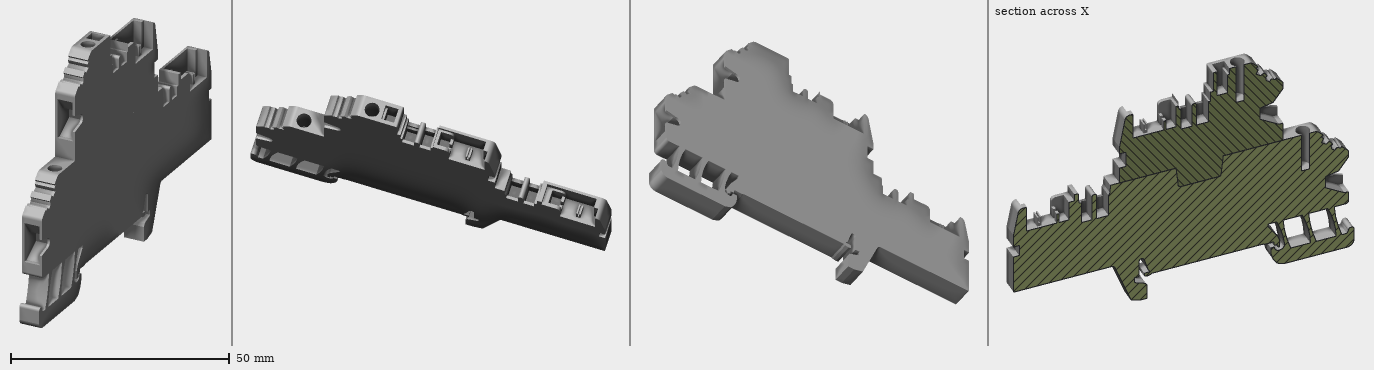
import cadquery as cq


width = 5.1
half_width = width / 2
lower_top = 35.6
upper_top = 60.2
upper_shoulder = 54.3
lower_face = -41.3
tier_shift_y = 16.4
upper_face = lower_face + tier_shift_y

tongue_back = 1.9
tongue_front = -9.8
tongue_bottom = 30.0
tongue_draft = 0.6
tongue_radius = 0.6

marker_steps = [
    (7.9, 0), (6.3, 1.6), (6.7, 2.1), (6.2, 2.65), (6.7, 3.7), (5.6, 4.4), (4.9, 3.8),
    (3.9, 4.95), (4.35, 5.4), (4.3, 6.2), (3.5, 6.7), (3.1, 6.2), (2.6, 6.2), (2.1, 6.65), (1.8, 6.2), (0, 8.0),
]
stair_top_radius = 1.5
stair_foot_radius = 1.1
shoulder_radius = 1.4

post_width = 1.3
lower_slot = dict(back=25.6, post_back=23.0, front=18.8, floor=30.5, ledge=32.8, post_top=34.2)
upper_slot = dict(back=0.7, post_back=-2.0, front=-6.1, floor=49.9, ledge=52.3, post_top=52.8)
slot_pocket_left = -1.7
slot_pocket_right = 1.9
slot_pocket_depth = 3.4
slot_rib_right = -1.2
slot_rib_drop = 0.85

side_wall_inner = -2.0
lower_pocket = dict(top=lower_top, back=40.2, tower=31.8, tower_end=27.4, tower_drop=1.8)
upper_pocket = dict(top=upper_shoulder, back=13.6, tower=5.0, tower_end=1.3, tower_drop=1.0)
pocket_depth = 6.8
corner_block_right = 0.2
corner_block_length = 1.0
tower_rounding = 1.0
test_hole_left = -1.45
test_hole_right = 1.7
test_hole_length = 2.4
test_hole_wall = 0.7
test_wall_drop = 4.3
test_slot_left = -0.2
test_slot_right = 0.7

fork_left = -0.8
fork_right = 1.5
fork_length = 1.0
fork_slit = 0.3
fork_height = 2.6
fork_base_height = 0.85
fork_setback = 3.8

screw_hole_radius = 1.7
screw_hole_x = 0.25
screw_hole_behind_face = 10.8
screw_hole_depth = 10.2
square_hole_half_width = 1.7
square_hole_back = -8.35
square_hole_length = 3.1
square_hole_inner_length = 2.6
square_hole_depth = 6.8
square_hole_step_depth = 1.7
recess_half_width = 2.0
recess_funnel = [(0, 19.7), (1.1, 19.7), (5.8, 16.9), (5.8, 13.8), (2.6, 13.1), (0, 9.8)]
notch_round_depth = 2.65
notch_radius = 1.4
notch_centre_drop = 15.2
notch_mouth_low = 17.2
notch_mouth_high = 13.1

body_bottom = 12.5
foot_floor = 4.1
leg_pitch = 6.4
first_window_back = -24.9
window_count = 2
leg_front_middle = 0.5
leg_front_foot = 1.9
leg_front_middle_z = 8.8
leg_back_top = 4.7
leg_back_middle = 6.0
leg_back_foot = 6.7
leg_back_middle_z = 9.1

underside_radius = 0.85
small_corner_radius = 0.3


def box(x_limits, y_limits, z_limits):
    """Axis-aligned block between pairs of limits given in any order."""
    spans = [abs(b - a) for a, b in (x_limits, y_limits, z_limits)]
    corner = [min(pair) for pair in (x_limits, y_limits, z_limits)]
    return cq.Workplane("XY").box(*spans, centered=False).translate(tuple(corner))


def sketch_on_side(x_start=-half_width):
    """Workplane whose local axes are Y and Z, standing at x_start and facing +X."""
    return cq.Workplane("YZ", origin=(x_start, 0, 0))


def round_corners(body, corners, radius):
    """Fillet the edges along X that pass through the given (y, z) corners."""
    for y, z in corners:
        body = body.edges("|X").edges(cq.NearestToPointSelector((0, y, z))).fillet(radius)
    return body


def marker_stairs(face, top):
    return [(face + behind, top - drop) for behind, drop in marker_steps]


def round_stair_ends(body, face, top):
    stairs = marker_stairs(face, top)
    body = round_corners(body, [stairs[0]], stair_top_radius)
    return round_corners(body, [stairs[-1]], stair_foot_radius)


def tongue_outline():
    return [
        (tongue_back, lower_top),
        (tongue_back - tongue_draft, tongue_bottom),
        (tongue_front + tongue_draft, tongue_bottom),
        (tongue_front, lower_top),
    ]


def draw_lever_post(outline, slot):
    """Continue an outline along the slot floor and over the round-topped lever post."""
    radius = post_width / 2
    post_front = slot["post_back"] - post_width
    shoulder = slot["post_top"] - radius
    return (
        outline.lineTo(slot["post_back"], slot["floor"])
        .lineTo(slot["post_back"], shoulder)
        .threePointArc((slot["post_back"] - radius, slot["post_top"]), (post_front, shoulder))
        .lineTo(post_front, slot["floor"])
        .lineTo(slot["front"], slot["floor"])
    )


def draw_points(outline, points):
    for y, z in points:
        outline = outline.lineTo(y, z)
    return outline


def cut_wire_entry(body, face, top):
    """Funnel recess in the wire-entry face and the open notch in its +X wall."""
    recess = (
        sketch_on_side(-recess_half_width)
        .polyline([(face + depth, top - drop) for depth, drop in recess_funnel])
        .close()
        .extrude(2 * recess_half_width)
    )
    round_start = face + notch_round_depth
    centre = top - notch_centre_drop
    notch = (
        sketch_on_side(recess_half_width)
        .moveTo(face, top - notch_mouth_low)
        .lineTo(round_start, centre - notch_radius)
        .threePointArc((round_start + notch_radius, centre), (round_start, centre + notch_radius))
        .lineTo(face, top - notch_mouth_high)
        .close()
        .extrude(half_width - recess_half_width)
    )
    return body.cut(recess).cut(notch)


def cut_screw_hole(body, face, top):
    hole = (
        cq.Workplane("XY", origin=(screw_hole_x, face + screw_hole_behind_face, top))
        .circle(screw_hole_radius)
        .extrude(-screw_hole_depth)
    )
    return body.cut(hole)


def cut_slot_pockets(body, slot):
    """Sink a pocket into the slot floor on each side of the lever post."""
    x_limits = (slot_pocket_left, slot_pocket_right)
    z_limits = (slot["floor"] - slot_pocket_depth, slot["floor"])
    spans = [(slot["back"], slot["post_back"]), (slot["post_back"] - post_width, slot["front"])]
    for y_limits in spans:
        body = body.cut(box(x_limits, y_limits, z_limits))
    return body


def cut_disconnect_pocket(body, pocket):
    """Open pocket behind the -X wall, ending at a tower with a slotted test hole."""
    top = pocket["top"]
    floor = top - pocket_depth
    tower_top = top - pocket["tower_drop"]
    inside = (side_wall_inner, half_width)

    cavity = box(inside, (pocket["tower"], pocket["back"]), (floor, top))
    corner_block = box(
        (side_wall_inner, corner_block_right),
        (pocket["back"] - corner_block_length, pocket["back"]),
        (floor, top),
    )
    above_tower = box(inside, (pocket["tower_end"], pocket["tower"]), (tower_top, top))
    rounding_zone = box(
        inside, (pocket["tower"] - tower_rounding, pocket["tower"]), (tower_top - tower_rounding, tower_top)
    )
    rounding_core = (
        sketch_on_side(side_wall_inner)
        .center(pocket["tower"] - tower_rounding, tower_top - tower_rounding)
        .circle(tower_rounding)
        .extrude(half_width - side_wall_inner)
    )
    hole_back = pocket["tower"] - test_hole_wall
    test_hole = box(
        (test_hole_left, test_hole_right), (hole_back - test_hole_length, hole_back), (floor, tower_top)
    )
    above_test_wall = box(
        (test_hole_left, test_hole_right), (hole_back, pocket["tower"]), (top - test_wall_drop, tower_top)
    )
    test_slot = box((test_slot_left, test_slot_right), (hole_back, pocket["tower"]), (floor, tower_top))

    body = body.cut(cavity.cut(corner_block)).cut(above_tower)
    body = body.cut(rounding_zone.cut(rounding_core))
    return body.cut(test_hole).cut(above_test_wall).cut(test_slot)


def cut_leg_windows(body):
    """Slanted windows that leave the springy legs between the body and the foot bar."""
    for index in range(window_count):
        back = first_window_back - index * leg_pitch
        window = (
            sketch_on_side()
            .moveTo(back, body_bottom)
            .lineTo(back - leg_back_top, body_bottom)
            .threePointArc((back - leg_back_middle, leg_back_middle_z), (back - leg_back_foot, foot_floor))
            .lineTo(back - leg_front_foot, foot_floor)
            .threePointArc((back - leg_front_middle, leg_front_middle_z), (back, body_bottom))
            .close()
            .extrude(width)
        )
        body = body.cut(window)
    return body


def make_lower_housing():
    slot = lower_slot
    rear = 42.6
    rear_top = 41.3
    rear_bottom = 12.1
    latch_root = 17.5
    last_leg = first_window_back - window_count * leg_pitch
    first_leg = first_window_back + leg_pitch

    outline = sketch_on_side().moveTo(rear, rear_bottom)
    outline = draw_points(outline, [
        (rear, 22.3), (41.2, 22.3), (41.2, 25.1), (rear, 25.1), (rear, 28.6), (rear_top, lower_top),
        (26.3, lower_top), (26.2, slot["ledge"]), (slot["back"], slot["ledge"]),
        (slot["back"], slot["floor"]),
    ])
    outline = draw_lever_post(outline, slot)
    outline = draw_points(outline, [
        (slot["front"], slot["ledge"]), (18.5, slot["ledge"] + 0.7), (18.4, lower_top),
        *tongue_outline(),
        *marker_stairs(lower_face, lower_top),
        (lower_face, body_bottom), (last_leg, body_bottom),
    ])
    outline = (
        outline.threePointArc(
            (last_leg - leg_front_middle, leg_front_middle_z), (last_leg - leg_front_foot, foot_floor)
        )
        .lineTo(-40.75, foot_floor)
        .lineTo(-41.1, 4.8)
        .threePointArc((-41.9, 5.5), (-42.6, 4.8))
        .lineTo(-42.6, 1.6)
        .threePointArc((-42.0, 0.5), (-40.6, 0))
        .lineTo(-25.1, 0)
        .lineTo(-23.45, 0.6)
        .threePointArc((-22.1, 2.7), (-21.7, foot_floor))
        .lineTo(-21.7, 5.6)
        .lineTo(-22.8, 5.6)
        .lineTo(-22.8, 5.0)
        .threePointArc((-23.9, 4.35), (-25.1, 5.1))
    )
    outline = (
        outline.lineTo(-25.1, 6.1)
        .threePointArc(
            (first_leg - leg_back_middle, leg_back_middle_z), (first_leg - leg_back_top, body_bottom)
        )
        .lineTo(-21.1, body_bottom)
    )
    outline = draw_points(outline, [
        (-21.1, 11.85), (-23.45, 8.6), (-24.0, 7.2), (-24.0, 5.1), (-23.5, 5.1), (-23.45, 5.9),
        (-22.5, 6.1), (-22.4, 7.1), (-21.65, 7.0), (-20.0, 7.0), (-19.9, 7.2),
    ])
    outline = draw_points(outline, [
        (7.9, 7.2), (8.35, 6.9), (9.2, 6.7), (9.9, 6.9), (9.9, 7.85), (8.5, 7.9), (9.0, 8.7),
        (9.9, 11.5),
    ])
    outline = outline.threePointArc((10.5, 12.1), (11.2, 11.5))
    outline = draw_points(outline, [
        (11.2, 7.2), (12.3, 7.2), (12.3, 5.9), (9.55, 4.9), (9.1, 4.1), (9.1, 0.3), (10.8, 0.3),
        (13.2, 1.0), (latch_root, rear_bottom),
    ])
    body = outline.close().extrude(width)

    body = round_corners(body, tongue_outline()[1:3], tongue_radius)
    body = round_corners(body, [(rear_top, lower_top)], shoulder_radius)
    body = round_corners(body, [(latch_root, rear_bottom)], underside_radius)
    body = round_corners(body, [(lower_face, body_bottom)], underside_radius)
    body = round_corners(body, [(rear, rear_bottom)], small_corner_radius)
    body = round_stair_ends(body, lower_face, lower_top)

    body = cut_leg_windows(body)
    body = cut_disconnect_pocket(body, lower_pocket)
    body = cut_slot_pockets(body, slot)
    body = cut_screw_hole(body, lower_face, lower_top)
    return cut_wire_entry(body, lower_face, lower_top)


def cut_square_hole(body):
    """Square opening behind the upper screw hole, with a shallow step at its front."""
    x_limits = (-square_hole_half_width, square_hole_half_width)
    step = box(
        x_limits,
        (square_hole_back - square_hole_length, square_hole_back),
        (upper_top - square_hole_step_depth, upper_top),
    )
    shaft = box(
        x_limits,
        (square_hole_back - square_hole_inner_length, square_hole_back),
        (upper_top - square_hole_depth, upper_top),
    )
    return body.cut(step).cut(shaft)


def add_slot_rib(body):
    """Rib along the -X side of the front slot pocket, a little below the slot floor."""
    floor = upper_slot["floor"]
    rib = box(
        (slot_pocket_left, slot_rib_right),
        (upper_slot["post_back"] - post_width, upper_slot["front"]),
        (floor - slot_pocket_depth, floor - slot_rib_drop),
    )
    return body.union(rib)


def make_upper_housing():
    slot = upper_slot
    rear = 16.1
    rear_top = 14.6
    tower_back = -7.3
    outline = sketch_on_side().moveTo(rear, lower_top)
    outline = draw_points(outline, [
        (rear, 39.9), (14.5, 39.9), (14.5, 43.8), (rear, 43.8), (rear, 45.9), (rear_top, upper_shoulder),
        (1.3, upper_shoulder), (1.2, slot["ledge"]), (slot["back"], slot["ledge"]),
        (slot["back"], slot["floor"]),
    ])
    outline = draw_lever_post(outline, slot)
    outline = draw_points(outline, [
        (slot["front"], slot["ledge"]), (-6.6, slot["ledge"]), (-6.6, 54.8), (tower_back, 54.8),
        (tower_back, upper_top),
        *marker_stairs(upper_face, upper_top),
        (upper_face, lower_top),
        *reversed(tongue_outline()),
    ])
    body = outline.close().extrude(width)

    body = round_corners(body, tongue_outline()[1:3], tongue_radius)
    body = round_corners(body, [(rear_top, upper_shoulder)], shoulder_radius)
    body = round_corners(body, [(tower_back, upper_top)], small_corner_radius)
    body = round_stair_ends(body, upper_face, upper_top)

    body = cut_disconnect_pocket(body, upper_pocket)
    body = add_slot_rib(cut_slot_pockets(body, slot))
    body = cut_square_hole(body)
    body = cut_screw_hole(body, upper_face, upper_top)
    return cut_wire_entry(body, upper_face, upper_top)


def make_contact_fork(pocket):
    """Two parallel blades on a common base, standing on the pocket floor."""
    floor = pocket["top"] - pocket_depth
    back = pocket["back"] - fork_setback
    middle = back - fork_length / 2
    x_limits = (fork_left, fork_right)
    blank = box(x_limits, (back - fork_length, back), (floor, floor + fork_height))
    slit = box(
        x_limits,
        (middle - fork_slit / 2, middle + fork_slit / 2),
        (floor + fork_base_height, floor + fork_height),
    )
    return blank.cut(slit)


lower_housing = make_lower_housing()
upper_housing = make_upper_housing()
contact_forks = [make_contact_fork(pocket).val() for pocket in (lower_pocket, upper_pocket)]

result = cq.Compound.makeCompound([lower_housing.val(), upper_housing.val(), *contact_forks])